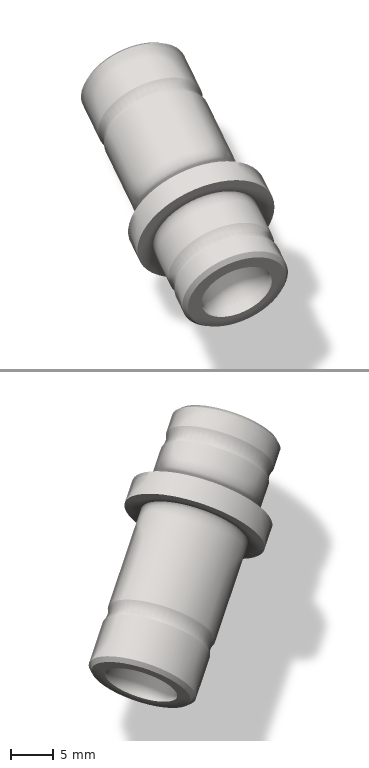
import cadquery as cq

length = 34.0
bore_diameter = 9.0
end_chamfer = 0.5

long_end_diameter = 13.4
short_end_diameter = 13.5

flange_diameter = 17.5
flange_start = 21.0
flange_width = 3.0
flange_end = flange_start + flange_width

long_end_groove_centre = 7.0
short_end_groove_centre = 30.0
groove_width = 2.0
groove_depth = 0.25


def cylinder_along_x(diameter, start, end):
    return cq.Workplane("YZ").workplane(offset=start).circle(diameter / 2).extrude(end - start)


def groove_cutter(centre, tube_diameter):
    """Ring with an arc-shaped floor, revolved about the tube axis."""
    tube_radius = tube_diameter / 2
    rim_radius = tube_radius + groove_depth
    left = centre - groove_width / 2
    right = centre + groove_width / 2
    return (
        cq.Workplane("XY")
        .moveTo(left, tube_radius)
        .threePointArc((centre, tube_radius - groove_depth), (right, tube_radius))
        .lineTo(right, rim_radius)
        .lineTo(left, rim_radius)
        .close()
        .revolve(360, (0, 0, 0), (1, 0, 0))
    )


def tube_end(diameter, start, end, outer_face, groove_centre):
    """Solid end of the tube with its outer rim chamfered and one groove."""
    tube = cylinder_along_x(diameter, start, end)
    tube = tube.faces(outer_face).edges().chamfer(end_chamfer)
    return tube.cut(groove_cutter(groove_centre, diameter))


long_end = tube_end(long_end_diameter, 0, flange_start, "<X", long_end_groove_centre)
short_end = tube_end(short_end_diameter, flange_end, length, ">X", short_end_groove_centre)
flange = cylinder_along_x(flange_diameter, flange_start, flange_end)

body = long_end.union(flange).union(short_end)
result = body.cut(cylinder_along_x(bore_diameter, 0, length))